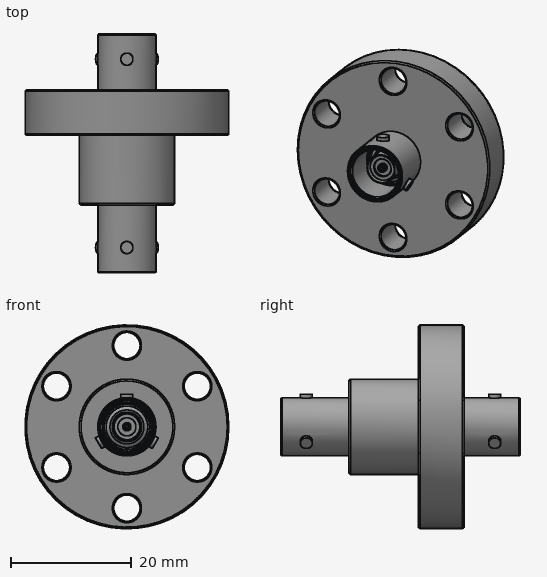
import cadquery as cq
import math

overall_length = 39.62

flange_diameter = 33.8
flange_radius = flange_diameter / 2
flange_thickness = 7.55
flange_chamfer = 0.28
barrel_radius = 7.92
barrel_length = 11.55
barrel_chamfer = 0.3

bolt_count = 6
bolt_circle_radius = 13.47
bolt_hole_radius = 2.18
bolt_hole_chamfer = 0.25

socket_radius = 4.85
rear_socket_length = 9.27
rim_chamfer = 0.2

lug_count = 3
lug_diameter = 2.02
lug_tip_radius = 5.43
lug_setback = 4.2

mouth_radius = 4.5
lead_in_radius = 4.3
lead_in_chamfer_depth = 0.15
lead_in_depth = 0.4
bore_radius = 4.05
bore_start_depth = 0.48
bore_depth = 7.53
well_radius = 3.75
well_depth = 7.92
cone_base_radius = 3.45
cone_top_radius = 2.8
cone_height = 0.35

sleeve_radius = 2.45
sleeve_mouth_radius = 2.35
sleeve_floor_radius = 2.15
sleeve_depth = 3.2
sleeve_floor_depth = 3.95
recess_radius = 1.5
recess_depth = 4.35
contact_radius = 0.67
contact_chamfer = 0.15
contact_depth = 3.45
contact_hole_radius = 0.25
contact_hole_depth = recess_depth

flange_back_y = flange_thickness
barrel_front_y = -barrel_length
rear_end_y = flange_back_y + rear_socket_length
front_end_y = rear_end_y - overall_length


def turned(points):
    """Revolve a closed (radius, y) outline about the Y axis."""
    return cq.Workplane("XY").polyline(points).close().revolve(360, (0, 0, 0), (0, 1, 0))


def make_body():
    return turned([
        (0, front_end_y),
        (socket_radius - rim_chamfer, front_end_y),
        (socket_radius, front_end_y + rim_chamfer),
        (socket_radius, barrel_front_y),
        (barrel_radius - barrel_chamfer, barrel_front_y),
        (barrel_radius, barrel_front_y + barrel_chamfer),
        (barrel_radius, 0),
        (flange_radius - flange_chamfer, 0),
        (flange_radius, flange_chamfer),
        (flange_radius, flange_back_y - flange_chamfer),
        (flange_radius - flange_chamfer, flange_back_y),
        (socket_radius, flange_back_y),
        (socket_radius, rear_end_y - rim_chamfer),
        (socket_radius - rim_chamfer, rear_end_y),
        (0, rear_end_y),
    ])


def make_bolt_hole():
    """Through hole on the Y axis, chamfered at both flange faces."""
    rim_radius = bolt_hole_radius + bolt_hole_chamfer
    return turned([
        (0, 0),
        (rim_radius, 0),
        (bolt_hole_radius, bolt_hole_chamfer),
        (bolt_hole_radius, flange_back_y - bolt_hole_chamfer),
        (rim_radius, flange_back_y),
        (0, flange_back_y),
    ])


def make_socket_cavity(mouth_y, inward):
    """Hollow of one socket; inward is +1 or -1, the Y direction into the part."""
    cone_top_depth = well_depth - cone_height
    outline = [
        (0, 0),
        (mouth_radius, 0),
        (lead_in_radius, lead_in_chamfer_depth),
        (lead_in_radius, lead_in_depth),
        (bore_radius, bore_start_depth),
        (bore_radius, bore_depth),
        (well_radius, bore_depth),
        (well_radius, well_depth),
        (cone_base_radius, well_depth),
        (cone_top_radius, cone_top_depth),
        (sleeve_radius, cone_top_depth),
        (sleeve_radius, sleeve_depth),
        (sleeve_mouth_radius, sleeve_depth),
        (sleeve_floor_radius, sleeve_floor_depth),
        (recess_radius, sleeve_floor_depth),
        (recess_radius, recess_depth),
        (contact_radius, recess_depth),
        (contact_radius, contact_depth + contact_chamfer),
        (contact_radius - contact_chamfer, contact_depth),
        (contact_hole_radius, contact_depth),
        (contact_hole_radius, contact_hole_depth),
        (0, contact_hole_depth),
    ]
    return turned([(radius, mouth_y + inward * depth) for radius, depth in outline])


def make_lugs(y):
    """Radial bayonet lugs around a socket, the first pointing to +Z."""
    lug_root_radius = (bore_radius + socket_radius) / 2
    lug = (
        cq.Workplane("XY", origin=(0, y, lug_root_radius))
        .circle(lug_diameter / 2)
        .extrude(lug_tip_radius - lug_root_radius)
    )
    lugs = cq.Workplane("XY")
    for index in range(lug_count):
        lugs = lugs.add(lug.rotate((0, 0, 0), (0, 1, 0), index * 360 / lug_count))
    return lugs


result = make_body()

bolt_hole = make_bolt_hole()
for index in range(bolt_count):
    angle = math.radians(90 + index * 360 / bolt_count)
    hole_x = bolt_circle_radius * math.cos(angle)
    hole_z = bolt_circle_radius * math.sin(angle)
    result = result.cut(bolt_hole.translate((hole_x, 0, hole_z)))

for mouth_y, inward in ((front_end_y, 1), (rear_end_y, -1)):
    result = result.cut(make_socket_cavity(mouth_y, inward))
    for lug in make_lugs(mouth_y + inward * lug_setback).vals():
        result = result.union(cq.Workplane(lug))